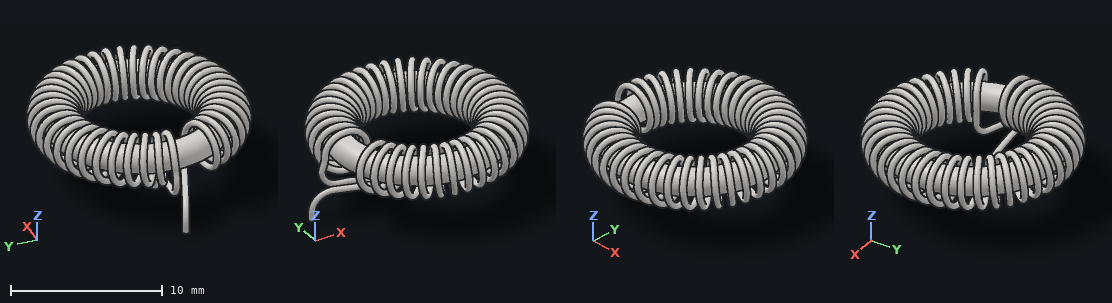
import cadquery as cq
import math

core_ring_radius = 5.45
core_section_radius = 1.0

wire_diameter = 0.5
wire_radius = wire_diameter / 2
coil_ring_radius = 5.58
turn_radius = 1.61
turn_count = 39.5
first_turn_angle = 180.0
winding_sweep = 334.0
turn_pitch = winding_sweep / math.floor(turn_count)
turn_lean = 7.0
points_per_turn = 10

lead_end_z = -4.2
lead_end_y = -0.29
inner_leg_x = -2.38
outer_leg_x = -8.4
outer_lead_z = -2.12
inner_bend_radius = 0.97
leg_bend_radius = 1.53
down = cq.Vector(0, 0, -1)


def winding_point(turn):
    """Wire centreline after a number of turns; each starts outside and goes over the top."""
    phase = 2 * math.pi * turn
    lean = turn_lean * (1 - math.cos(phase)) / 2
    angle = math.radians(first_turn_angle - turn_pitch * turn + lean)
    radius = coil_ring_radius + turn_radius * math.cos(phase)
    return cq.Vector(radius * math.cos(angle), radius * math.sin(angle), turn_radius * math.sin(phase))


def winding_direction(turn):
    """Change of the wire centreline per turn, along its tangent."""
    step = 0.0001
    return (winding_point(turn + step) - winding_point(turn - step)) * (0.5 / step)


def sweep_wire(edges, section, is_frenet=False):
    """Piece of wire that carries a round section along connected centreline edges."""
    return cq.Solid.sweep(section, [], cq.Wire.assembleEdges(edges), isFrenet=is_frenet)


def end_face(piece, centre):
    """The flat end of a piece of wire at a point of its centreline."""
    return min(piece.faces("%PLANE").Faces(), key=lambda face: (face.Center() - centre).Length)


def make_core():
    return cq.Workplane(cq.Solid.makeTorus(core_ring_radius, core_section_radius))


def make_turn(first_turn, last_turn, section):
    """Piece of wire along one stretch of the winding."""
    steps = round((last_turn - first_turn) * points_per_turn)
    turns = [first_turn + i / points_per_turn for i in range(steps + 1)]
    points = [winding_point(turn) for turn in turns]
    directions = [winding_direction(first_turn), winding_direction(last_turn)]
    path = cq.Edge.makeSpline(points, tangents=directions, parameters=turns, scale=False)
    return sweep_wire([path], section, is_frenet=True)


def make_inner_lead(section):
    """Lead from the first turn, passing below the core to a leg inside the ring."""
    start = winding_point(0)
    direction = winding_direction(0).normalized() * -1
    points = [
        start,
        cq.Vector(-7.43, 0, -0.97),
        cq.Vector(-6.84, -0.05, -2.0),
        cq.Vector(-5.63, -0.13, -2.22),
        cq.Vector(-4.41, -0.2, -2.51),
        cq.Vector(-3.45, -0.24, -2.8),
        cq.Vector(-2.6, -0.27, -3.31),
        cq.Vector(inner_leg_x, lead_end_y, lead_end_z),
    ]
    path = cq.Edge.makeSpline(points, tangents=[direction, down], scale=False)
    return sweep_wire([path], section)


def make_outer_lead(section):
    """Lead from the last turn, dropping inside the ring and running out to a leg beyond it."""
    start = winding_point(turn_count)
    direction = winding_direction(turn_count).normalized()
    end = cq.Vector(outer_leg_x, lead_end_y, lead_end_z)
    corner = cq.Vector(start.x, start.y, outer_lead_z)
    outward = cq.Vector(end.x - start.x, end.y - start.y, 0)
    run_length = outward.Length
    outward = outward.normalized()
    bend_start = corner - down * inner_bend_radius
    bend_end = corner + outward * inner_bend_radius
    run_end = corner + outward * (run_length - leg_bend_radius)
    leg_start = corner + outward * run_length + down * leg_bend_radius
    edges = [
        cq.Edge.makeSpline([start, bend_start], tangents=[direction, down], scale=False),
        cq.Edge.makeTangentArc(bend_start, down, bend_end),
        cq.Edge.makeLine(bend_end, run_end),
        cq.Edge.makeTangentArc(run_end, outward, leg_start),
        cq.Edge.makeLine(leg_start, end),
    ]
    return sweep_wire(edges, section)


def make_coil():
    """The whole wire as one solid: full turns, the top half of the last turn, and both leads.

    Each piece starts from the end section of its neighbour, so their skins join edge to edge.
    """
    first_section = cq.Wire.makeCircle(wire_radius, winding_point(0), winding_direction(0))
    full_turn = make_turn(0, 1, first_section)
    full_turn_count = math.floor(turn_count)
    axis_start = cq.Vector(0, 0, 0)
    axis_end = cq.Vector(0, 0, 1)
    turns = [full_turn.rotate(axis_start, axis_end, -turn_pitch * i) for i in range(full_turn_count)]

    last_section = end_face(turns[-1], winding_point(full_turn_count)).outerWire()
    half_turn = make_turn(full_turn_count, turn_count, last_section)
    inner_lead = make_inner_lead(first_section)
    outer_lead = make_outer_lead(end_face(half_turn, winding_point(turn_count)).outerWire())

    skin = []
    for piece in [inner_lead, *turns, half_turn, outer_lead]:
        skin.extend(piece.faces("not %PLANE").Faces())
    skin.append(end_face(inner_lead, cq.Vector(inner_leg_x, lead_end_y, lead_end_z)))
    skin.append(end_face(outer_lead, cq.Vector(outer_leg_x, lead_end_y, lead_end_z)))
    return cq.Solid.makeSolid(cq.Shell.makeShell(skin))


core = make_core()
coil = make_coil()

result = cq.Compound.makeCompound([core.val(), coil])